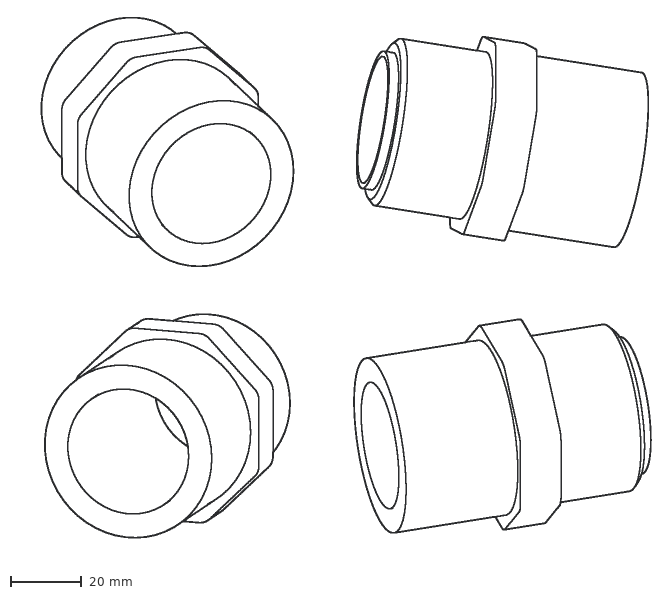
import cadquery as cq
import math

total_length = 74.0
lip_length = 2.75
collar_start = 29.0
collar_length = 12.0
collar_end = collar_start + collar_length

bore_diameter = 36.2
lip_diameter = 39.3
spigot_diameter = 47.8
socket_diameter = 50.0

collar_across_flats = 55.0
collar_sides = 8
collar_corner_radius = 4.3
spigot_chamfer = 1.55


def cylinder(diameter, start, end):
    """Round section along X between two positions."""
    return cq.Workplane("YZ", origin=(start, 0, 0)).circle(diameter / 2).extrude(end - start)


def octagonal_collar():
    """Wrench collar with flats facing Y and Z and rounded corners."""
    half_corner_angle = math.pi / collar_sides
    across_corners = collar_across_flats / math.cos(half_corner_angle)
    return (
        cq.Workplane("YZ", origin=(collar_start, 0, 0))
        .transformed(rotate=(0, 0, math.degrees(half_corner_angle)))
        .polygon(collar_sides, across_corners)
        .extrude(collar_length)
        .edges("|X")
        .fillet(collar_corner_radius)
    )


lip = cylinder(lip_diameter, 0, lip_length)
spigot = cylinder(spigot_diameter, lip_length, collar_start).faces("<X").chamfer(spigot_chamfer)
socket = cylinder(socket_diameter, collar_end, total_length)
bore = cylinder(bore_diameter, 0, total_length)

result = octagonal_collar().union(lip).union(spigot).union(socket).cut(bore)